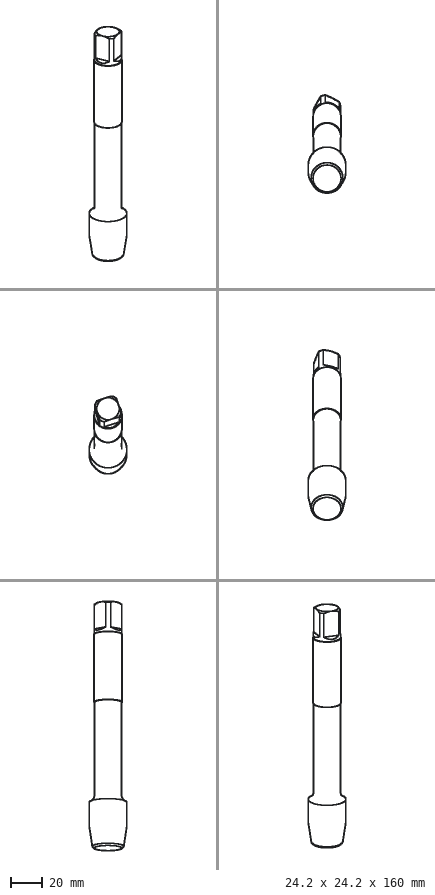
import cadquery as cq
import math

total_length = 160.0

head_diameter = 24.23
head_top_z = 30.0
lead_top_z = 14.0
lead_end_diameter = 20.4
tip_diameter = 18.0
tip_chamfer_height = (lead_end_diameter - tip_diameter) / 2

shank_diameter = 18.0
neck_diameter = 17.5
flare_top_z = 34.8
neck_top_z = 95.3
neck_chamfer_height = (shank_diameter - neck_diameter) / 2

square_sides = 4
square_size = 14.5
square_corner_diameter = 17.7
square_base_z = 143.0
shank_top_z = 140.0
shank_end_chamfer_height = 0.25
top_face_diameter = square_size
top_chamfer_angle = math.radians(30)
top_chamfer_width = (square_corner_diameter - top_face_diameter) / 2
top_chamfer_height = top_chamfer_width * math.tan(top_chamfer_angle)

head_radius = head_diameter / 2
shank_radius = shank_diameter / 2
neck_radius = neck_diameter / 2
square_corner_radius = square_corner_diameter / 2


def revolve_about_z(outline):
    """Turn a closed XZ half outline about the Z axis."""
    return outline.revolve(360, (0, 0, 0), (0, 1, 0))


def make_cutting_head():
    """Cylindrical head with a tapered lead and a chamfered tip."""
    outline = (
        cq.Workplane("XZ")
        .lineTo(tip_diameter / 2, 0)
        .lineTo(lead_end_diameter / 2, tip_chamfer_height)
        .lineTo(head_radius, lead_top_z)
        .lineTo(head_radius, head_top_z)
        .lineTo(0, head_top_z)
        .close()
    )
    return revolve_about_z(outline)


def flare_middle_point():
    """Middle of the flare arc, which is tangent to the neck and ends on the head rim."""
    flare_height = flare_top_z - head_top_z
    flare_width = head_radius - neck_radius
    flare_radius = (flare_height**2 + flare_width**2) / (2 * flare_width)
    half_sweep = math.asin(flare_height / flare_radius) / 2
    middle_x = neck_radius + flare_radius * (1 - math.cos(half_sweep))
    middle_z = flare_top_z - flare_radius * math.sin(half_sweep)
    return middle_x, middle_z


def make_shank_blank():
    """Turned shank: flare, neck, full diameter and round drive end."""
    outline = (
        cq.Workplane("XZ")
        .moveTo(0, head_top_z)
        .lineTo(head_radius, head_top_z)
        .threePointArc(flare_middle_point(), (neck_radius, flare_top_z))
        .lineTo(neck_radius, neck_top_z)
        .lineTo(shank_radius, neck_top_z + neck_chamfer_height)
        .lineTo(shank_radius, shank_top_z - shank_end_chamfer_height)
        .lineTo(square_corner_radius, shank_top_z)
        .lineTo(square_corner_radius, total_length - top_chamfer_height)
        .lineTo(top_face_diameter / 2, total_length)
        .lineTo(0, total_length)
        .close()
    )
    return revolve_about_z(outline)


def make_flat_cutter():
    """Material removed beside one flat, with a 45 degree run-out at its base."""
    flat_x = square_size / 2
    outer_x = shank_diameter
    return (
        cq.Workplane("XZ")
        .moveTo(flat_x, square_base_z)
        .lineTo(outer_x, square_base_z - (outer_x - flat_x))
        .lineTo(outer_x, total_length)
        .lineTo(flat_x, total_length)
        .close()
        .extrude(shank_radius, both=True)
    )


def make_shank():
    """Shank blank with the four flats of the driving square cut into its end."""
    shank_body = make_shank_blank()
    for side in range(square_sides):
        cutter = make_flat_cutter().rotate((0, 0, 0), (0, 0, 1), 360 / square_sides * side)
        shank_body = shank_body.cut(cutter)
    return shank_body


cutting_head = make_cutting_head()
shank = make_shank()

result = cq.Compound.makeCompound([cutting_head.val(), shank.val()])